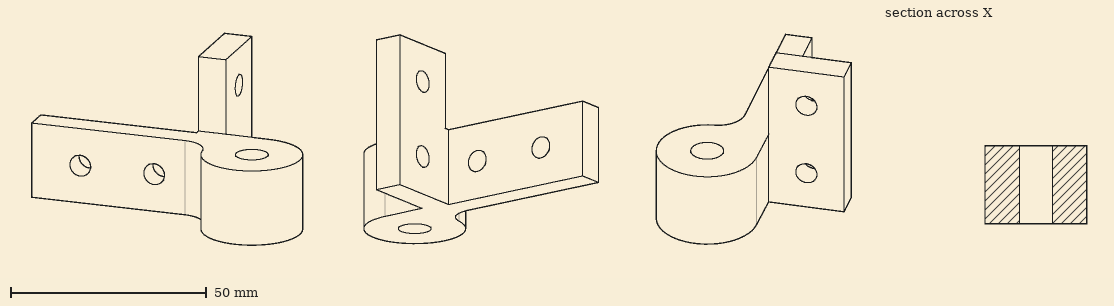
import cadquery as cq
import math

length = 74.4
height = 20.0
plate_height = 2 * height

barrel_radius = 13.0
barrel_bore = 8.4
barrel_x = length - barrel_radius

arm_front = 4.8
arm_thickness = 7.0
arm_back = arm_front + arm_thickness
blend_radius = 7.0

plate_x = 42.2
plate_thickness = 7.45
plate_back = 33.0
plate_front = 13.2
plate_end_x = plate_x + plate_thickness

screw_diameter = 5.6
hole_pitch = height
first_arm_hole_x = 13.2
plate_hole_y = (plate_front + plate_back) / 2


def hinge_body():
    """Arm and barrel as one outline, with a blend arc under the arm."""
    blend_y = arm_front - blend_radius
    center_distance = barrel_radius + blend_radius
    blend_x = barrel_x - math.sqrt(center_distance**2 - blend_y**2)
    share = blend_radius / center_distance
    meet = (blend_x + share * (barrel_x - blend_x), blend_y * (1 - share))
    meet_angle = math.atan2(-blend_y, barrel_x - blend_x)
    middle_angle = (math.pi / 2 + meet_angle) / 2
    blend_middle = (
        blend_x + blend_radius * math.cos(middle_angle),
        blend_y + blend_radius * math.sin(middle_angle),
    )
    return (
        cq.Workplane("XY")
        .moveTo(0, arm_front)
        .lineTo(blend_x, arm_front)
        .threePointArc(blend_middle, meet)
        .lineTo(barrel_x, 0)
        .lineTo(barrel_x, barrel_radius)
        .lineTo(plate_end_x, plate_front)
        .lineTo(plate_x, plate_front)
        .lineTo(plate_x, arm_back)
        .lineTo(0, arm_back)
        .close()
        .extrude(height)
        .union(cq.Workplane("XY").center(barrel_x, 0).circle(barrel_radius).extrude(height))
    )


def upright_plate():
    return cq.Workplane("XY").box(
        plate_thickness, plate_back - plate_front, plate_height, centered=False
    ).translate((plate_x, plate_front, 0))


def bore():
    return cq.Workplane("XY").center(barrel_x, 0).circle(barrel_bore / 2).extrude(height)


def arm_hole(x):
    return (
        cq.Workplane("XZ", origin=(x, arm_back, height / 2))
        .circle(screw_diameter / 2)
        .extrude(arm_thickness)
    )


def plate_hole(z):
    return (
        cq.Workplane("YZ", origin=(plate_x, plate_hole_y, z))
        .circle(screw_diameter / 2)
        .extrude(plate_thickness)
    )


result = hinge_body().union(upright_plate()).cut(bore())
for i in range(2):
    result = result.cut(arm_hole(first_arm_hole_x + i * hole_pitch))
    result = result.cut(plate_hole(height / 2 + i * hole_pitch))